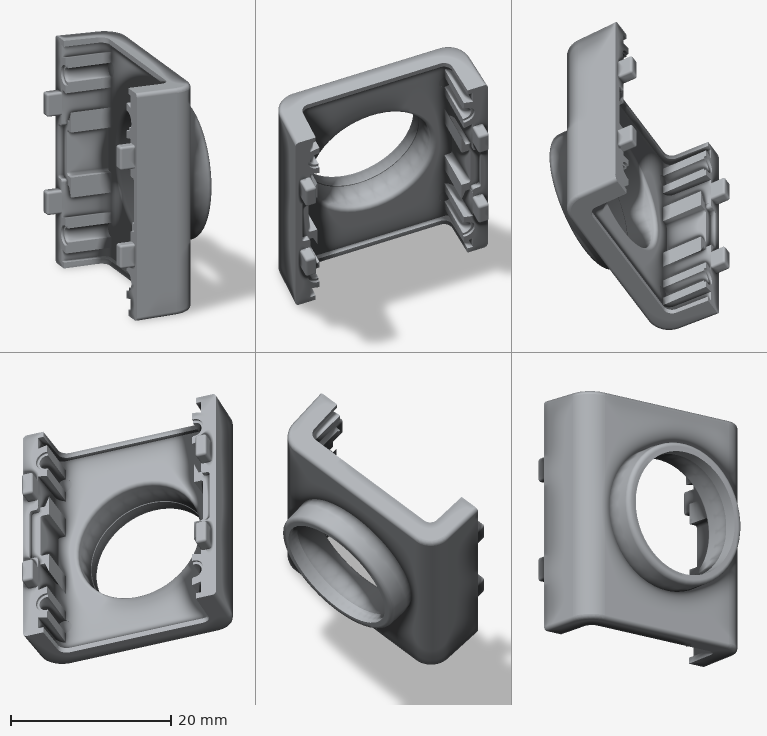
import cadquery as cq
import math


length = 29.85
width = 26.0
cover_height = 8.33
draft = 2.0
end_draft = 1.0
corner_radius = 2.9
end_edge_radius = 0.5

rim_half_width = 10.27
rim_height = 5.6
rim_corner_radius = 1.15
rim_length = 0.78
recess_depth = 0.6
recess_half_width = 11.0
recess_corner_radius = 1.05
floor_y = rim_height + recess_depth
recess_half_length = length / 2 - rim_length

collar_height = 3.6
collar_radius = 9.25
collar_edge_radius = 0.57
bore_diameter = 15.9
bore_mouth_diameter = 16.35
bore_mouth_radius = 0.48
bore_taper_length = 3.58

rib_tip_x = 9.75
rib_root_width = 4.1
rib_tip_width = 4.63
screw_x = 9.95
screw_z = 10.5
screw_diameter = 1.9
screw_head_diameter = 2.6
screw_head_depth = 0.33
screw_floor_depth = 0.03

latch_pocket_half_length = 2.95
latch_pocket_corner_radius = 0.33
latch_block_root_z = 4.25
latch_block_tip_z = 5.58
latch_block_bevel_x = 10.33
relief_depth = 0.72
relief_half_width = 12.1
relief_half_length = 3.52
relief_corner_radius = 0.33

pin_x = 11.68
pin_z = 6.45
pin_width = 1.45
pin_length = 3.05
pin_height = 1.97
pin_edge_radius = 0.3

wall_overlap = 0.35


def leg_profile(half_width, height):
    """Trapezoid across the cover, narrowing with the side draft as y grows."""
    top_half_width = half_width - height * math.tan(math.radians(draft))
    return cq.Workplane("XY").polyline(
        [(-half_width, 0), (half_width, 0), (top_half_width, height), (-top_half_width, height)]
    ).close()


def drafted_prism(half_width, height, half_length):
    return leg_profile(half_width, height).extrude(half_length, both=True)


def in_four_corners(shape):
    both_sides = shape.union(shape.mirror("YZ"))
    return both_sides.union(both_sides.mirror("XY"))


def make_shell():
    prism = drafted_prism(width / 2, cover_height, length / 2).edges("|Z and >Y").fillet(corner_radius)
    top_half_length = length / 2 - cover_height * math.tan(math.radians(end_draft))
    end_limits = cq.Workplane("YZ").polyline(
        [(0, -length / 2), (0, length / 2), (cover_height, top_half_length), (cover_height, -top_half_length)]
    ).close().extrude(width / 2, both=True)
    shell = prism.intersect(end_limits)
    shell = shell.faces(">Z or <Z").edges("not <Y").fillet(end_edge_radius)

    opening = drafted_prism(rim_half_width, rim_height, length).edges("|Z and >Y").fillet(rim_corner_radius)
    recess = drafted_prism(recess_half_width, floor_y, recess_half_length)
    recess = recess.edges("|Z and >Y").fillet(recess_corner_radius)
    return shell.cut(opening).cut(recess)


def make_collar():
    """Drafted ring body turned about the Y axis, starting just inside the cover."""
    top_radius = collar_radius - collar_height * math.tan(math.radians(draft))
    base_y = (floor_y + cover_height) / 2
    top_y = cover_height + collar_height
    collar = cq.Workplane("XY").polyline(
        [(0, base_y), (collar_radius, base_y), (collar_radius, cover_height), (top_radius, top_y), (0, top_y)]
    ).close().revolve(360, (0, 0), (0, 1))
    return collar.faces(">Y").edges().fillet(collar_edge_radius)


def make_bore():
    """Rounded mouth at the cover floor, a tapered stretch, a small step, then a straight bore."""
    mouth_radius = bore_mouth_diameter / 2
    bore_radius = bore_diameter / 2
    taper_start_y = floor_y + bore_mouth_radius
    taper_end_y = taper_start_y + bore_taper_length
    taper_end_radius = mouth_radius - bore_taper_length * math.tan(math.radians(draft))
    outer_radius = mouth_radius + bore_mouth_radius
    return (
        cq.Workplane("XY")
        .moveTo(0, 0)
        .lineTo(outer_radius, 0)
        .lineTo(outer_radius, floor_y)
        .radiusArc((mouth_radius, taper_start_y), bore_mouth_radius)
        .lineTo(taper_end_radius, taper_end_y)
        .lineTo(bore_radius, taper_end_y)
        .lineTo(bore_radius, cover_height + collar_height)
        .lineTo(0, cover_height + collar_height)
        .close()
        .revolve(360, (0, 0), (0, 1))
    )


def make_screw_rib():
    """Rib along a leg, slightly wider at its tip than at the wall."""
    root_x = recess_half_width + wall_overlap
    outline = cq.Workplane("XZ").polyline(
        [
            (root_x, screw_z - rib_root_width / 2),
            (recess_half_width, screw_z - rib_root_width / 2),
            (rib_tip_x, screw_z - rib_tip_width / 2),
            (rib_tip_x, screw_z + rib_tip_width / 2),
            (recess_half_width, screw_z + rib_root_width / 2),
            (root_x, screw_z + rib_root_width / 2),
        ]
    ).close()
    return outline.extrude(-floor_y - wall_overlap)


def make_screw_hole():
    axis = cq.Workplane("XZ").center(screw_x, screw_z)
    hole = axis.circle(screw_diameter / 2).extrude(-floor_y - screw_floor_depth)
    head = axis.circle(screw_head_diameter / 2).extrude(-screw_head_depth)
    return hole.union(head)


def make_latch_block():
    """Block beside the latch pocket, bevelled on the side facing the screw rib."""
    root_x = recess_half_width + wall_overlap
    outline = cq.Workplane("XZ", origin=(0, relief_depth, 0)).polyline(
        [
            (root_x, 0),
            (rib_tip_x, 0),
            (rib_tip_x, latch_block_tip_z),
            (latch_block_bevel_x, latch_block_root_z),
            (root_x, latch_block_root_z),
        ]
    ).close()
    return outline.extrude(relief_depth - floor_y - wall_overlap)


def make_latch_pocket():
    pocket = drafted_prism(recess_half_width, floor_y, latch_pocket_half_length)
    return pocket.edges("not (|X or |Z)").fillet(latch_pocket_corner_radius)


def make_relief():
    """Shallow step in the mounting face, flaring out where it meets the leg's inner wall."""
    r = relief_corner_radius
    flare_z = relief_half_length + r
    return (
        cq.Workplane("XZ")
        .moveTo(rib_tip_x, 0)
        .lineTo(relief_half_width, 0)
        .lineTo(relief_half_width, relief_half_length - r)
        .radiusArc((relief_half_width - r, relief_half_length), -r)
        .lineTo(recess_half_width + r, relief_half_length)
        .radiusArc((recess_half_width, flare_z), r)
        .lineTo(recess_half_width, latch_block_root_z)
        .lineTo(rib_tip_x, latch_block_root_z)
        .close()
        .extrude(-relief_depth)
    )


def make_pin():
    """Pin standing out of the mounting face, rounded on its sides and free end."""
    pin = cq.Workplane("XZ").center(pin_x, pin_z).rect(pin_width, pin_length).extrude(pin_height)
    return pin.edges("|Y or <Y").fillet(pin_edge_radius)


result = make_shell().union(make_collar())
result = result.union(in_four_corners(make_screw_rib()))
result = result.union(in_four_corners(make_latch_block()))
result = result.cut(make_latch_pocket())
result = result.cut(in_four_corners(make_relief()))
result = result.cut(in_four_corners(make_screw_hole()))
result = result.cut(make_bore())
result = result.union(in_four_corners(make_pin()))